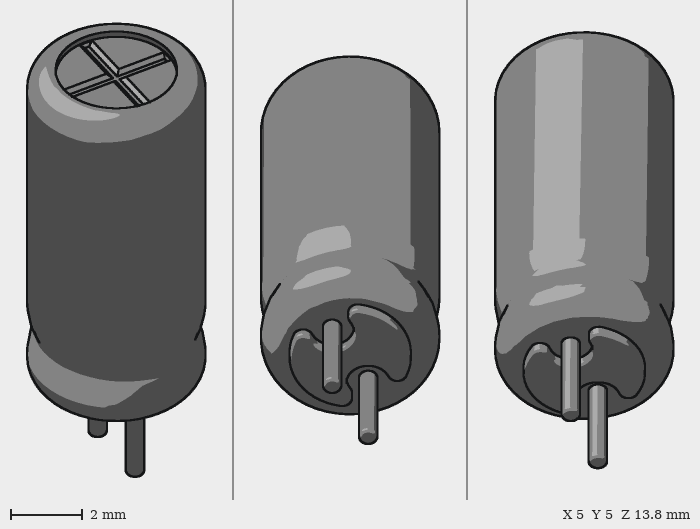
import cadquery as cq


total_height = 13.8
lead_length = 2.5
seal_height = 0.3
can_height = total_height - lead_length - seal_height
can_bottom = seal_height
can_top = can_bottom + can_height

can_radius = 2.5
can_rounding = 0.7

crimp_height = 1.71
crimp_half_width = 0.88
crimp_depth = 0.21
waist_half_width = 0.21

recess_radius = 1.7
recess_depth = 0.2
vent_length = 3.34
vent_width = 0.4
vent_floor_length = 3.22
vent_floor_width = 0.14
vent_depth = 0.12

lead_radius = 0.26
lead_offset = 1.02
lead_tip_rounding = 0.1

seal_radius = 1.7
seal_notch_radius = 0.61
seal_corner_radius = 0.28
seal_edge_rounding = 0.1


def make_can():
    """Solid of revolution with rounded ends and the crimp groove."""
    waist_z = can_bottom + crimp_height
    waist_radius = can_radius - crimp_depth
    meeting_radius = waist_radius + crimp_depth * waist_half_width / crimp_half_width

    profile = (
        cq.Workplane("XZ")
        .moveTo(0, can_bottom)
        .lineTo(can_radius - can_rounding, can_bottom)
        .tangentArcPoint((can_radius, can_bottom + can_rounding), relative=False)
        .lineTo(can_radius, waist_z - crimp_half_width)
        .tangentArcPoint((meeting_radius, waist_z - waist_half_width), relative=False)
        .threePointArc((waist_radius, waist_z), (meeting_radius, waist_z + waist_half_width))
        .tangentArcPoint((can_radius, waist_z + crimp_half_width), relative=False)
        .lineTo(can_radius, can_top - can_rounding)
        .tangentArcPoint((can_radius - can_rounding, can_top), relative=False)
        .lineTo(0, can_top)
        .close()
    )
    return profile.revolve(360, (0, 0, 0), (0, 1, 0))


def make_vent_groove(angle):
    """Groove with sloping walls, cut below the recess floor."""
    return (
        cq.Workplane("XY")
        .workplane(offset=can_top - recess_depth)
        .rect(vent_length, vent_width)
        .workplane(offset=-vent_depth)
        .rect(vent_floor_length, vent_floor_width)
        .loft(ruled=True)
        .rotate((0, 0, 0), (0, 0, 1), angle)
    )


def make_top_recess():
    """Round recess together with the two crossing vent grooves."""
    recess = (
        cq.Workplane("XY")
        .workplane(offset=can_top - recess_depth)
        .circle(recess_radius)
        .extrude(recess_depth)
    )
    for angle in (0, 90):
        recess = recess.union(make_vent_groove(angle))
    return recess


def make_seal():
    """Round seal with a notch around each lead and rounded lower edges."""
    seal = cq.Workplane("XY").circle(seal_radius).extrude(seal_height)
    for side in (-1, 1):
        notch_center = side * lead_offset
        round_end = (
            cq.Workplane("XY")
            .center(notch_center, 0)
            .circle(seal_notch_radius)
            .extrude(seal_height)
        )
        open_end = (
            cq.Workplane("XY")
            .center(notch_center + side * seal_radius / 2, 0)
            .rect(seal_radius, 2 * seal_notch_radius)
            .extrude(seal_height)
        )
        seal = seal.cut(round_end.union(open_end))
    seal = seal.edges("|Z").edges("<X or >X").fillet(seal_corner_radius)
    return seal.faces("<Z").edges().fillet(seal_edge_rounding)


def make_leads():
    """Two round leads with rounded tips, reaching up to the can bottom."""
    return (
        cq.Workplane("XY")
        .workplane(offset=-lead_length)
        .pushPoints([(-lead_offset, 0), (lead_offset, 0)])
        .circle(lead_radius)
        .extrude(lead_length + can_bottom)
        .faces("<Z")
        .edges()
        .fillet(lead_tip_rounding)
    )


result = make_can().cut(make_top_recess()).union(make_seal()).union(make_leads())